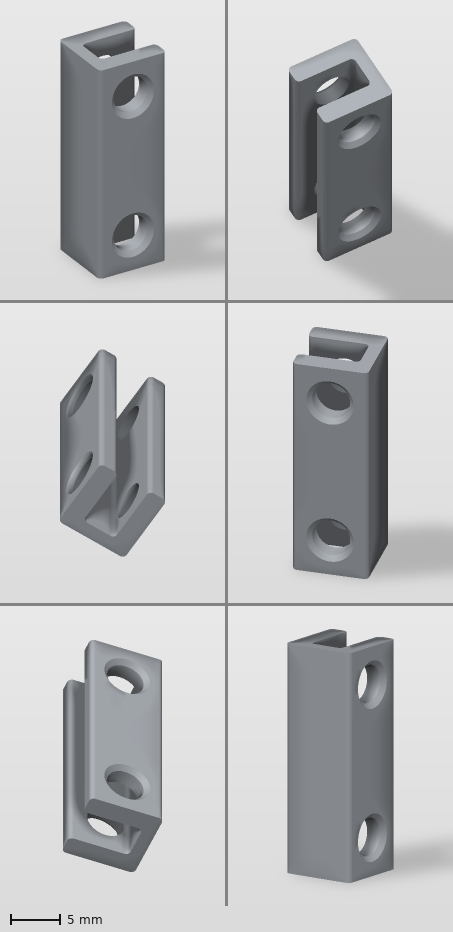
import cadquery as cq

length = 24.0
side = 8.0
slot_width = 3.8
floor_thickness = 1.45
edge_radius = 0.5

hole_diameter = 4.0
countersink_depth = 0.5
hole_end_distance = 4.0

half_side = side / 2
hole_radius = hole_diameter / 2
hole_heights = (hole_end_distance, length - hole_end_distance)


def make_channel():
    """U-shaped bar with all its lengthwise edges rounded."""
    block = cq.Workplane("XY").box(side, side, length, centered=(True, True, False))
    slot = (
        cq.Workplane("XY")
        .box(slot_width, side, length, centered=(True, True, False))
        .translate((0, floor_thickness, 0))
    )
    return block.cut(slot).edges("|Z").fillet(edge_radius)


def make_hole_cutter(height):
    """Bore along X that flares at 45 degrees to both outer wall faces."""
    outer_radius = hole_radius + countersink_depth
    bore_end = half_side - countersink_depth
    return (
        cq.Workplane("XY")
        .moveTo(-half_side, 0)
        .lineTo(-half_side, outer_radius)
        .lineTo(-bore_end, hole_radius)
        .lineTo(bore_end, hole_radius)
        .lineTo(half_side, outer_radius)
        .lineTo(half_side, 0)
        .close()
        .revolve(360, (0, 0, 0), (1, 0, 0))
        .translate((0, 0, height))
    )


result = make_channel()
for hole_height in hole_heights:
    result = result.cut(make_hole_cutter(hole_height))